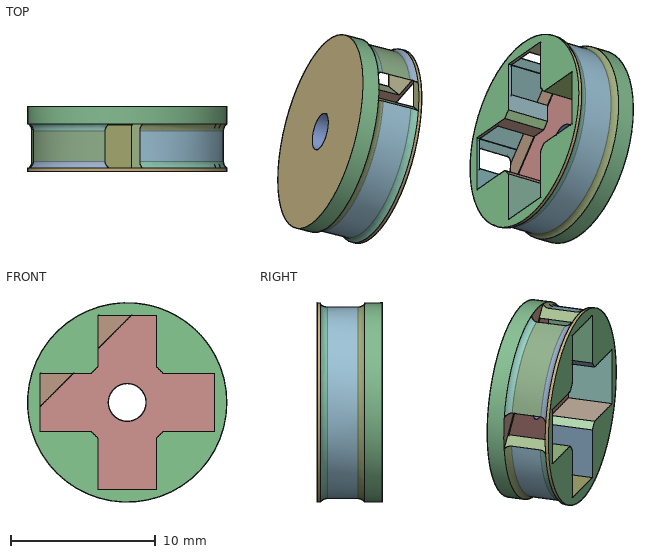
import cadquery as cq
import math

outer_radius = 6.89
thickness = 4.5
front_y = -thickness / 2
back_y = thickness / 2

front_flange = 0.23
back_flange = 1.23
groove_depth = 0.23
groove_blend = 0.47

arm_length = 6.02
arm_width = 4.02
corner_chamfer = 0.47
pocket_floor_gap = 0.07

hole_radius = 1.3

slot_inner_distance = 4.05
slot_width = 1.61

groove_front_y = front_y + front_flange
groove_back_y = back_y - back_flange
groove_width = groove_back_y - groove_front_y


def make_disc():
    """Revolve the spool section, with blends tangent to the groove floor."""
    floor_radius = outer_radius - groove_depth
    blend_radius = (groove_depth**2 + groove_blend**2) / (2 * groove_depth)
    half_angle = math.asin(groove_blend / blend_radius) / 2
    mid_run = blend_radius * math.sin(half_angle)
    mid_rise = blend_radius * (1 - math.cos(half_angle))
    front_floor_y = groove_front_y + groove_blend
    back_floor_y = groove_back_y - groove_blend
    return (
        cq.Workplane("XY")
        .moveTo(0, front_y)
        .lineTo(outer_radius, front_y)
        .lineTo(outer_radius, groove_front_y)
        .threePointArc((floor_radius + mid_rise, front_floor_y - mid_run), (floor_radius, front_floor_y))
        .lineTo(floor_radius, back_floor_y)
        .threePointArc((floor_radius + mid_rise, back_floor_y + mid_run), (outer_radius, groove_back_y))
        .lineTo(outer_radius, back_y)
        .lineTo(0, back_y)
        .close()
        .revolve(360, (0, 0, 0), (0, 1, 0))
    )


def block_from(y_start, depth, size_x, size_z):
    """Block centred on the axis, running back from y_start."""
    return cq.Workplane("XY").box(size_x, depth, size_z).translate((0, y_start + depth / 2, 0))


def make_cross_pocket():
    depth = groove_back_y - pocket_floor_gap - front_y
    across = block_from(front_y, depth, 2 * arm_length, arm_width)
    upright = block_from(front_y, depth, arm_width, 2 * arm_length)
    trim_diagonal = 2 * (arm_width + corner_chamfer)
    trim_side = trim_diagonal / math.sqrt(2)
    corner_trim = block_from(front_y, depth, trim_side, trim_side).rotate((0, 0, 0), (0, 1, 0), 45)
    return across.union(upright).union(corner_trim)


def make_slot():
    slot_centre = slot_inner_distance + slot_width / 2
    return (
        block_from(groove_front_y, groove_width, 2 * outer_radius, slot_width)
        .translate((0, 0, slot_centre))
        .rotate((0, 0, 0), (0, 1, 0), -45)
    )


def make_hole():
    return cq.Workplane("XZ", origin=(0, back_y, 0)).circle(hole_radius).extrude(thickness)


result = make_disc().cut(make_cross_pocket()).cut(make_slot()).cut(make_hole())